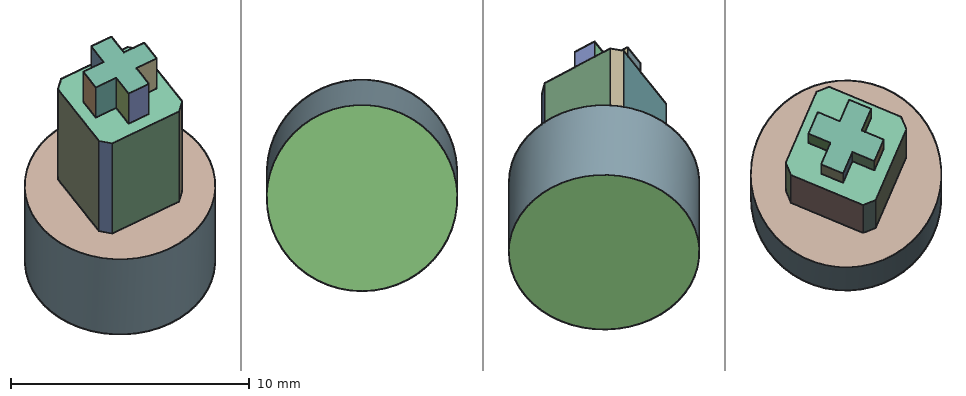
import cadquery as cq

total_height = 13.0

base_diameter = 8.0
base_height = 5.0

shaft_width = 4.1
shaft_height = 5.99
shaft_bevel = 0.4

cross_span = 3.0
cross_arm_width = 1.0
cross_height = total_height - base_height - shaft_height


def upright_block(size_x, size_y, height, bottom_z):
    """Block centred on the Z axis, standing on the given level."""
    block = cq.Workplane("XY").box(size_x, size_y, height, centered=(True, True, False))
    return block.translate((0, 0, bottom_z))


def make_base():
    return cq.Workplane("XY").circle(base_diameter / 2).extrude(base_height)


def make_shaft():
    shaft = upright_block(shaft_width, shaft_width, shaft_height, base_height)
    return shaft.edges("|Z").chamfer(shaft_bevel)


def make_cross():
    bottom_z = base_height + shaft_height
    arm_along_x = upright_block(cross_span, cross_arm_width, cross_height, bottom_z)
    arm_along_y = upright_block(cross_arm_width, cross_span, cross_height, bottom_z)
    return arm_along_x.union(arm_along_y)


result = make_base().union(make_shaft()).union(make_cross())